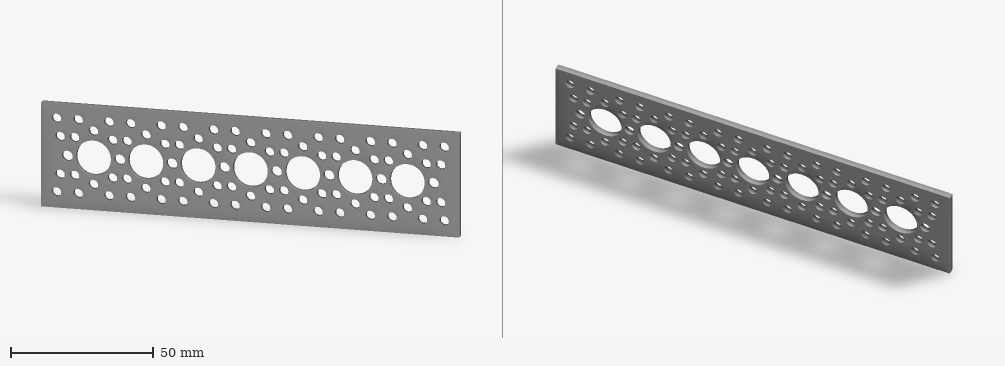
import cadquery as cq
import math

length = 152.4
thickness = 2.3
bore_count = 7
pitch = length / (bore_count + 1)
height = 2 * pitch

bore_diameter = 12.8
screw_hole_diameter = 3.5
link_hole_diameter = 4.0

inner_circle_diameter = 19.5
outer_circle_diameter = 2 * pitch


def centered_row(count):
    """Points one pitch apart along the middle of the plate."""
    return [((i - (count - 1) / 2) * pitch, 0) for i in range(count)]


def diagonal_points(center, circle_diameter):
    """Four points on a circle, at 45 degrees to the plate edges."""
    x, z = center
    offset = circle_diameter / 2 * math.sqrt(0.5)
    return [(x + sx * offset, z + sz * offset) for sx in (-1, 1) for sz in (-1, 1)]


def vertical_points(center, circle_diameter):
    """The top and bottom points of a circle."""
    x, z = center
    return [(x, z + side * circle_diameter / 2) for side in (-1, 1)]


def drill(plate, points, diameter):
    """Cut round holes through the full thickness."""
    return plate.faces("<Y").workplane(origin=(0, 0, 0)).pushPoints(points).hole(diameter)


bore_centers = centered_row(bore_count)
link_centers = centered_row(bore_count + 1)

screw_centers = []
for bore_center in bore_centers:
    screw_centers += vertical_points(bore_center, inner_circle_diameter)

for pattern_center in centered_row(bore_count + 2):
    for circle_diameter in (inner_circle_diameter, outer_circle_diameter):
        for point in diagonal_points(pattern_center, circle_diameter):
            if abs(point[0]) < length / 2:
                screw_centers.append(point)

result = cq.Workplane("XY").box(length, thickness, height)
result = drill(result, bore_centers, bore_diameter)
result = drill(result, link_centers, link_hole_diameter)
result = drill(result, screw_centers, screw_hole_diameter)